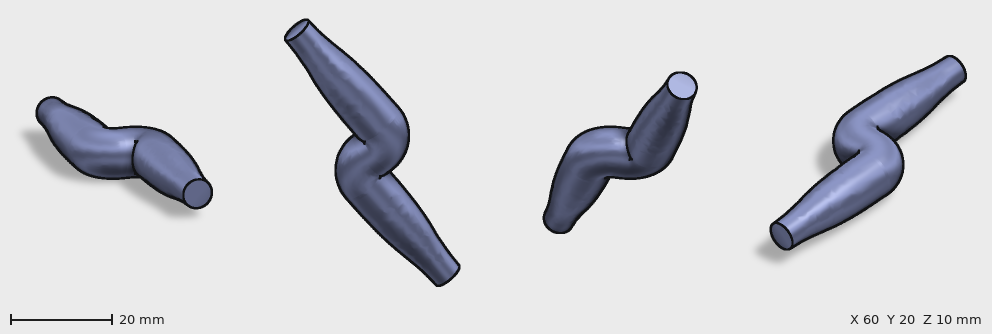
import cadquery as cq
import math

length = 60.0
tube_diameter = 10.0
tip_diameter = 6.0

bend_radius = 4.0
swell_distance = 12.0
swell_radius = 4.4

tube_radius = tube_diameter / 2
tip_radius = tip_diameter / 2
arm_offset = tube_radius
link_half_length = arm_offset - bend_radius
tip_x = -length / 2
swell_x = tip_x + swell_distance
arm_end_x = -bend_radius


def make_arm():
    """Round arm along X, swelling smoothly from its flat tip to the tube diameter."""
    profile = (
        cq.Workplane("XY")
        .moveTo(tip_x, 0)
        .lineTo(tip_x, tip_radius)
        .spline(
            [(swell_x, swell_radius), (arm_end_x, tube_radius)],
            tangents=[(1, 0), (1, 0)],
            includeCurrent=True,
        )
        .lineTo(arm_end_x, 0)
        .close()
    )
    arm = profile.revolve(360, (0, 0, 0), (1, 0, 0))
    return arm.translate((0, -arm_offset, 0))


def make_bend():
    """Quarter-turn elbow; the tube is wider than the bend, so it is cut off at the bend axis."""
    axis_half_height = math.sqrt(tube_radius**2 - bend_radius**2)
    section = (
        cq.Workplane("YZ", origin=(arm_end_x, -arm_offset, 0))
        .moveTo(bend_radius, axis_half_height)
        .threePointArc((-tube_radius, 0), (bend_radius, -axis_half_height))
        .close()
    )
    return section.revolve(90, (bend_radius, 0, 0), (bend_radius, 1, 0))


half = make_arm().union(make_bend())
other_half = half.rotate((0, 0, 0), (0, 0, 1), 180)
link = cq.Workplane("XZ").circle(tube_radius).extrude(link_half_length, both=True)

result = half.union(link).union(other_half)